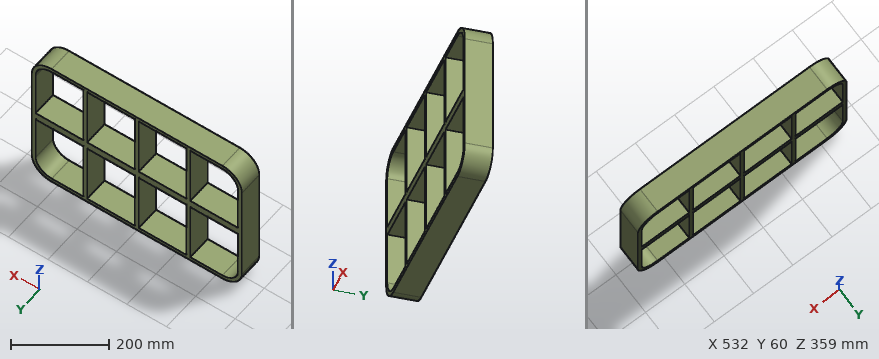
import cadquery as cq

length = 532.0
depth = 60.0
height = 359.0
corner_radius = 50.0

wall = 10.0
post = 10.0
shelf = 20.0

columns = 4
rows = 2

inner_length = length - 2 * wall
inner_height = height - 2 * wall
inner_radius = corner_radius - wall
cell_width = (inner_length - (columns - 1) * post) / columns
cell_height = (inner_height - (rows - 1) * shelf) / rows


def rounded_block(x_size, z_size, radius):
    """Block centred on the origin with its four Y-direction edges rounded."""
    return cq.Workplane("XY").box(x_size, depth, z_size).edges("|Y").fillet(radius)


def make_rim():
    """Outer rounded rim of constant wall thickness."""
    outer = rounded_block(length, height, corner_radius)
    return outer.cut(rounded_block(inner_length, inner_height, inner_radius))


def add_posts(body):
    """Upright dividers between the columns, reaching into the middle of the rim wall."""
    pitch = cell_width + post
    for i in range(1, columns):
        x = (i - columns / 2) * pitch
        divider = cq.Workplane("XY").box(post, depth, inner_height + wall)
        body = body.union(divider.translate((x, 0, 0)))
    return body


def add_shelves(body):
    """Level dividers between the rows, reaching into the middle of the rim wall."""
    pitch = cell_height + shelf
    for i in range(1, rows):
        z = (i - rows / 2) * pitch
        divider = cq.Workplane("XY").box(inner_length + wall, depth, shelf)
        body = body.union(divider.translate((0, 0, z)))
    return body


result = add_shelves(add_posts(make_rim())).clean()